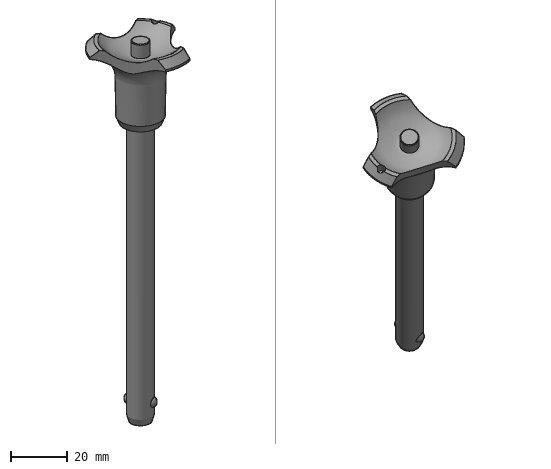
import cadquery as cq
import math


shank_radius = 5.0
shank_length = 120.0
tip_radius = 4.2
tip_taper_length = 2.7

ball_radius = 2.1
ball_projection = 1.2
ball_height_above_tip = 8.2

handle_height = 32.9
rim_radius = 19.6
rim_bevel_height = 2.9
rim_band_height = 0.9
top_ring_outer_radius = 16.7
top_ring_inner_radius = 15.2
underside_point_radius = 12.7
underside_point_depth = 6.4
neck_radius = 9.2
neck_depth = 13.4
barrel_bottom_radius = 8.9
collar_radius = 7.7
collar_bevel_height = 2.8

bowl_depth = 5.7
bowl_floor_radius = 4.6
bowl_mid_radius = 11.3
bowl_mid_depth = 3.25

side_notch_clearance = 11.4
side_notch_radius = 20.7
side_notch_angle = 32.3
front_notch_radius = 50.0
front_notch_clearance = 11.3

button_radius = 3.4
button_chamfer = 0.3
lanyard_hole_radius = 1.5
lanyard_hole_offset = 16.1


def make_handle_body():
    """Revolved handle: bevelled rim, flared underside, tapered barrel and dished top."""
    top = handle_height
    rim_top = top - rim_bevel_height
    rim_bottom = rim_top - rim_band_height
    profile = (
        cq.Workplane("XZ")
        .moveTo(0, 0)
        .lineTo(collar_radius, 0)
        .lineTo(barrel_bottom_radius, collar_bevel_height)
        .lineTo(neck_radius, top - neck_depth)
        .threePointArc(
            (underside_point_radius, top - underside_point_depth),
            (rim_radius, rim_bottom),
        )
        .lineTo(rim_radius, rim_top)
        .lineTo(top_ring_outer_radius, top)
        .lineTo(top_ring_inner_radius, top)
        .threePointArc(
            (bowl_mid_radius, top - bowl_mid_depth),
            (bowl_floor_radius, top - bowl_depth),
        )
        .lineTo(0, top - bowl_depth)
        .close()
    )
    return profile.revolve(360, (0, 0, 0), (0, 1, 0))


def make_notch(angle, radius, clearance):
    """Vertical cylinder whose near side passes the axis at the given clearance."""
    distance = clearance + radius
    direction = math.radians(angle)
    return (
        cq.Workplane("XY")
        .center(distance * math.cos(direction), distance * math.sin(direction))
        .circle(radius)
        .extrude(handle_height)
    )


def make_handle():
    """Handle body with the three notches and the lanyard hole cut through it."""
    handle = make_handle_body()
    for angle in (side_notch_angle, 180 - side_notch_angle):
        handle = handle.cut(make_notch(angle, side_notch_radius, side_notch_clearance))
    handle = handle.cut(make_notch(-90, front_notch_radius, front_notch_clearance))
    lanyard_hole = (
        cq.Workplane("XY")
        .center(0, lanyard_hole_offset)
        .circle(lanyard_hole_radius)
        .extrude(handle_height)
    )
    return handle.cut(lanyard_hole)


def make_button():
    """Release button rising from the bowl floor to the level of the handle top."""
    return (
        cq.Workplane("XY")
        .circle(button_radius)
        .extrude(handle_height)
        .faces(">Z")
        .chamfer(button_chamfer)
    )


def make_shank():
    """Plain round shank with a tapered tip."""
    return (
        cq.Workplane("XZ")
        .moveTo(0, 0)
        .lineTo(shank_radius, 0)
        .lineTo(shank_radius, tip_taper_length - shank_length)
        .lineTo(tip_radius, -shank_length)
        .lineTo(0, -shank_length)
        .close()
        .revolve(360, (0, 0, 0), (0, 1, 0))
    )


def make_ball(side):
    """Locking ball on the +X (side = 1) or -X (side = -1) flank of the shank."""
    center_x = side * (shank_radius + ball_projection - ball_radius)
    center_z = ball_height_above_tip - shank_length
    return cq.Workplane("XY").sphere(ball_radius).translate((center_x, 0, center_z))


result = make_handle().union(make_button()).union(make_shank())
for side in (1, -1):
    result = result.union(make_ball(side))